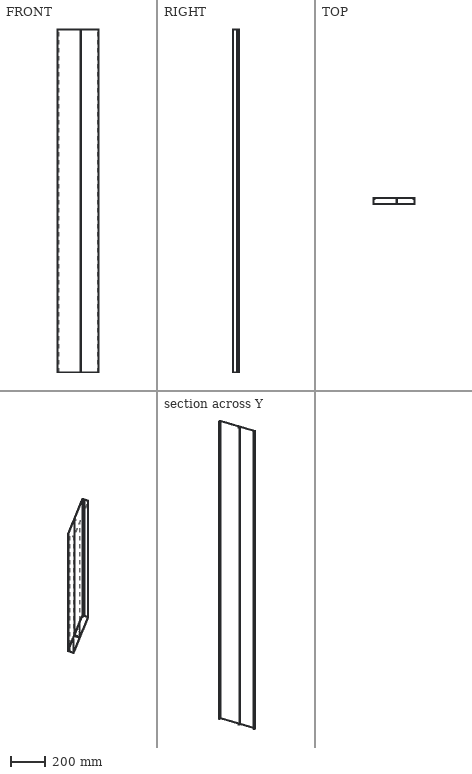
import cadquery as cq

WIDTH = 240.0
DEPTH = 38.0
LENGTH = 2000.0

WALL = 3.0
LIP_DEPTH = 15.0
SHOULDER_WIDTH = 8.0
SHOULDER_DEPTH = 10.0

DIVIDER_X = 15.0
DIVIDER_THICKNESS = 5.0

FRONT_Y = -DEPTH / 2
BACK_Y = DEPTH / 2
FLOOR_Y = FRONT_Y + WALL
LID_INNER_Y = BACK_Y - WALL
SHOULDER_Y = BACK_Y - SHOULDER_DEPTH
SEAM_Y = BACK_Y - LIP_DEPTH
CAVITY_WIDTH = WIDTH - 2 * WALL


def bar(centre_x, width, y_min, y_max):
    """Full-length rectangular bar, centred on the given X and spanning the given Y range."""
    return (
        cq.Workplane("XY")
        .box(width, y_max - y_min, LENGTH)
        .translate((centre_x, (y_min + y_max) / 2, 0))
    )


def make_channel():
    """Open-backed channel with an off-centre divider that reaches up to the lid."""
    outer = bar(0, WIDTH, FRONT_Y, SEAM_Y)
    cavity = bar(0, CAVITY_WIDTH, FLOOR_Y, SEAM_Y)
    divider = bar(DIVIDER_X, DIVIDER_THICKNESS, FLOOR_Y, LID_INNER_Y)
    return outer.cut(cavity).union(divider)


def make_lid():
    """Lid with a lip along each long edge and a square shoulder inside each corner."""
    outer = bar(0, WIDTH, SEAM_Y, BACK_Y)
    recess_between_lips = bar(0, CAVITY_WIDTH, SEAM_Y, SHOULDER_Y)
    recess_between_shoulders = bar(0, WIDTH - 2 * SHOULDER_WIDTH, SEAM_Y, LID_INNER_Y)
    return outer.cut(recess_between_lips).cut(recess_between_shoulders)


channel = make_channel()
lid = make_lid()

result = cq.Compound.makeCompound([channel.val(), lid.val()])